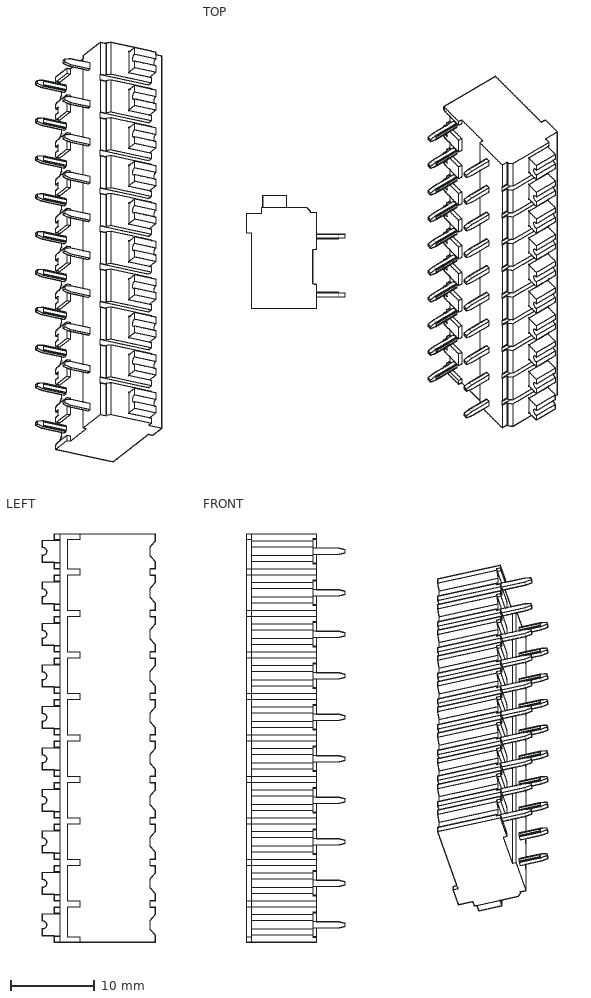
import cadquery as cq

POLE_COUNT = 10
PITCH = 5.0
HEIGHT = 49.2
FIRST_POLE_Z = 2.1

BODY_LEFT = 0.6
BODY_RIGHT = 8.45
SHOULDER_Y = 11.6
RIDGE_TOP_Y = 12.2
RIDGE_LEFT = 1.8
RIDGE_RIGHT = 7.7
RIDGE_CHAMFER = 0.4
CHANNEL_DEPTH = 0.45
CHANNEL_BOTTOM_Y = 3.0
CHANNEL_TOP_Y = 7.1
CHANNEL_DRAFT = 0.05

FLANGE_TOP_Y = 11.5
FLANGE_BOTTOM_Y = 10.6
TOOTH_BOTTOM_Y = 9.1
END_TOOTH_HEIGHT = 0.65

SLOT_WIDTH = 0.75
SLOT_DEPTH = 0.65

GROOVE_MOUTH = 2.5
GROOVE_FLOOR = 1.0
GROOVE_DEPTH = 0.65
RECESS_WIDTH = 2.8
RECESS_MOUTH = 3.1
RECESS_BEVEL_DEPTH = 0.3

BUTTON_LEFT = 1.95
BUTTON_RIGHT = 4.85
BUTTON_WIDTH = 2.65
BUTTON_TOP_Y = 13.65
BUTTON_NOTCH_WIDTH = 0.9
BUTTON_NOTCH_DEPTH = 0.55
BUTTON_CLEARANCE = 0.1

FRONT_ROW_Y = 1.65
BACK_ROW_Y = 8.75
PIN_WIDTH = 0.8
PIN_THICKNESS = 0.5
PIN_TIP_X = 11.9
PIN_TAPER_LENGTH = 0.8
PIN_TIP_WIDTH = 0.4
PIN_ROOT_LENGTH = 0.45
RIB_THICKNESS = 0.1
RIB_WIDTH = 0.5

CHANNEL_FLOOR_X = BODY_RIGHT - CHANNEL_DEPTH
POLE_HEIGHTS = [FIRST_POLE_Z + i * PITCH for i in range(POLE_COUNT)]
BOUNDARY_HEIGHTS = [z + PITCH / 2 for z in POLE_HEIGHTS[:-1]]


def box(x_range, y_range, z_range):
    """Axis-aligned box given by its limits along X, Y and Z."""
    limits = (x_range, y_range, z_range)
    size = [high - low for low, high in limits]
    corner = [low for low, high in limits]
    return cq.Workplane("XY").box(*size, centered=False).translate(tuple(corner))


def span(center, width):
    """Lower and upper limit of a width placed around a center."""
    return (center - width / 2, center + width / 2)


def make_housing():
    """Extruded housing with the stepped ridge and the channel between the pin rows."""
    outline = [
        (BODY_LEFT, 0),
        (BODY_RIGHT, 0),
        (BODY_RIGHT, CHANNEL_BOTTOM_Y - CHANNEL_DRAFT),
        (CHANNEL_FLOOR_X, CHANNEL_BOTTOM_Y),
        (CHANNEL_FLOOR_X, CHANNEL_TOP_Y),
        (BODY_RIGHT, CHANNEL_TOP_Y + CHANNEL_DRAFT),
        (BODY_RIGHT, SHOULDER_Y),
        (RIDGE_RIGHT, SHOULDER_Y),
        (RIDGE_RIGHT, RIDGE_TOP_Y - RIDGE_CHAMFER),
        (RIDGE_RIGHT - RIDGE_CHAMFER, RIDGE_TOP_Y),
        (RIDGE_LEFT, RIDGE_TOP_Y),
        (RIDGE_LEFT, FLANGE_TOP_Y),
        (BODY_LEFT, FLANGE_TOP_Y),
    ]
    return cq.Workplane("XY").polyline(outline).close().extrude(HEIGHT)


def make_flange():
    """Flange along the whole height, with the teeth that reach further down."""
    x_range = (0, BODY_LEFT)
    flange = box(x_range, (FLANGE_BOTTOM_Y, FLANGE_TOP_Y), (0, HEIGHT))
    tooth_y = (TOOTH_BOTTOM_Y, FLANGE_TOP_Y)
    for z in BOUNDARY_HEIGHTS:
        flange = flange.union(box(x_range, tooth_y, span(z, SLOT_WIDTH)))
    flange = flange.union(box(x_range, tooth_y, (0, END_TOOTH_HEIGHT)))
    return flange.union(box(x_range, tooth_y, (HEIGHT - END_TOOTH_HEIGHT, HEIGHT)))


def make_front_slot(z):
    """Slot across the -Y face at one pole boundary."""
    return box((0, BODY_RIGHT), (0, SLOT_DEPTH), span(z, SLOT_WIDTH))


def make_ridge_slot(z):
    """Slot across the ridge at one pole boundary."""
    return box((0, BODY_RIGHT), (FLANGE_TOP_Y, RIDGE_TOP_Y), span(z, SLOT_WIDTH))


def make_front_groove(z):
    """Trapezoidal groove across the -Y face, centered on one pole."""
    return (
        cq.Workplane("YZ")
        .polyline([
            (0, z - GROOVE_MOUTH / 2),
            (GROOVE_DEPTH, z - GROOVE_FLOOR / 2),
            (GROOVE_DEPTH, z + GROOVE_FLOOR / 2),
            (0, z + GROOVE_MOUTH / 2),
        ])
        .close()
        .extrude(BODY_RIGHT)
    )


def make_pin_recess(z):
    """Recess in the +X face around the front pin, open to the channel, with beveled front edges."""
    return (
        cq.Workplane("YZ", origin=(CHANNEL_FLOOR_X, 0, 0))
        .polyline([
            (0, z - RECESS_MOUTH / 2),
            (RECESS_BEVEL_DEPTH, z - RECESS_WIDTH / 2),
            (CHANNEL_BOTTOM_Y, z - RECESS_WIDTH / 2),
            (CHANNEL_BOTTOM_Y, z + RECESS_WIDTH / 2),
            (RECESS_BEVEL_DEPTH, z + RECESS_WIDTH / 2),
            (0, z + RECESS_MOUTH / 2),
        ])
        .close()
        .extrude(CHANNEL_DEPTH)
    )


def make_button_pocket(z):
    """Pocket in the ridge that surrounds one button with a small gap."""
    x_range = (RIDGE_LEFT, BUTTON_RIGHT)
    width = BUTTON_WIDTH + 2 * BUTTON_CLEARANCE
    return box(x_range, (FLANGE_TOP_Y, RIDGE_TOP_Y), span(z, width))


def make_button(z):
    """Button standing above the ridge, with a round notch along X."""
    half_width = BUTTON_WIDTH / 2
    half_notch = BUTTON_NOTCH_WIDTH / 2
    return (
        cq.Workplane("YZ", origin=(BUTTON_LEFT, 0, 0))
        .moveTo(FLANGE_TOP_Y, z - half_width)
        .lineTo(BUTTON_TOP_Y, z - half_width)
        .lineTo(BUTTON_TOP_Y, z - half_notch)
        .threePointArc((BUTTON_TOP_Y - BUTTON_NOTCH_DEPTH, z), (BUTTON_TOP_Y, z + half_notch))
        .lineTo(BUTTON_TOP_Y, z + half_width)
        .lineTo(FLANGE_TOP_Y, z + half_width)
        .close()
        .extrude(BUTTON_RIGHT - BUTTON_LEFT)
    )


def make_pin(y, z, rib_side):
    """Flat pin with a tapered tip and a low rib on its +Y (1) or -Y (-1) face."""
    root_x = CHANNEL_FLOOR_X - PIN_ROOT_LENGTH
    taper_start_x = PIN_TIP_X - PIN_TAPER_LENGTH
    shank_x = (root_x, taper_start_x)
    shank = box(shank_x, span(y, PIN_THICKNESS), span(z, PIN_WIDTH))
    rib_y = y + rib_side * (PIN_THICKNESS + RIB_THICKNESS) / 2
    rib = box(shank_x, span(rib_y, RIB_THICKNESS), span(z, RIB_WIDTH))
    tip = (
        cq.Workplane("YZ", origin=(taper_start_x, y, z))
        .rect(PIN_THICKNESS, PIN_WIDTH)
        .workplane(offset=PIN_TAPER_LENGTH)
        .rect(PIN_THICKNESS, PIN_TIP_WIDTH)
        .loft()
    )
    return shank.union(tip).union(rib)


cutters = [make_front_slot(z) for z in BOUNDARY_HEIGHTS]
cutters += [make_ridge_slot(z) for z in BOUNDARY_HEIGHTS]
fittings = []
for pole_z in POLE_HEIGHTS:
    cutters += [make_front_groove(pole_z), make_pin_recess(pole_z), make_button_pocket(pole_z)]
    fittings += [make_button(pole_z), make_pin(FRONT_ROW_Y, pole_z, 1), make_pin(BACK_ROW_Y, pole_z, -1)]

housing = make_housing().union(make_flange()).val()
carved_housing = housing.cut(*[cutter.val() for cutter in cutters])
block = carved_housing.fuse(*[fitting.val() for fitting in fittings]).clean()
result = cq.Workplane("XY").newObject(block.Solids())